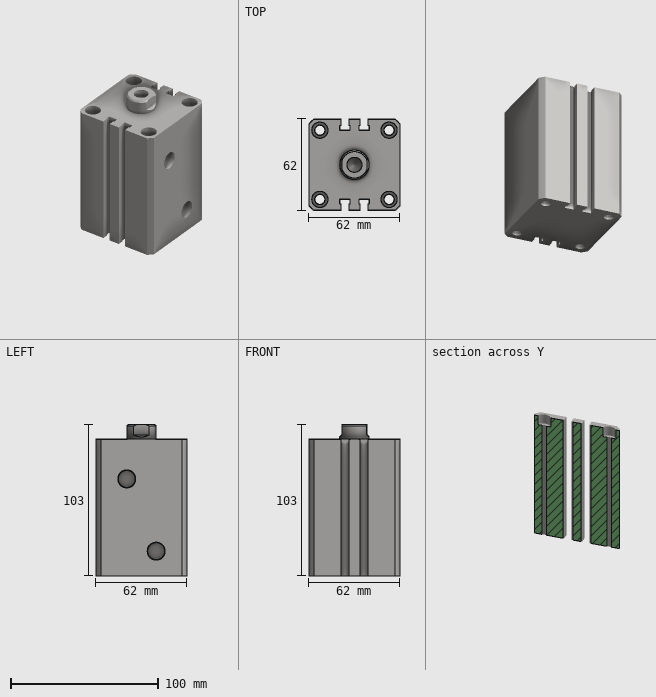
import cadquery as cq
import math

total_height = 103.0
rod_exposed = 10.0
width = 62.0
corner_round_radius = 41.5
body_height = total_height - rod_exposed
half_width = width / 2

bolt_pitch = 47.0
bolt_hole_diameter = 6.8
counterbore_diameter = 11.0
counterbore_depth = 7.0

slot_pitch = 13.0
slot_neck_width = 5.3
slot_head_width = 6.8
slot_neck_depth = 4.4
slot_depth = 7.5

port_diameter = 12.2
port_depth = 10.3
port_taper = 1 / 16
port_offset = 10.0
upper_port_drop = 27.0
lower_port_height = 17.0

rod_diameter = 20.0
rod_seat_depth = 20.6
rod_chamfer = 1.0
flat_width = 17.0
flat_length = 7.0
rod_hole_diameter = 10.2
rod_hole_depth = 15.0
drill_point_angle = 118.0


def housing_block():
    """Square block whose vertical edges are rounded about the Z axis."""
    block = cq.Workplane("XY").rect(width, width).extrude(body_height)
    envelope = cq.Workplane("XY").circle(corner_round_radius).extrude(body_height)
    return block.intersect(envelope)


def t_slot(x_center, side):
    """T-slot cutter over the full height; side is +1 for the +Y face, -1 for the -Y face."""
    neck_center = side * (half_width - slot_depth / 2)
    neck = cq.Workplane("XY").center(x_center, neck_center).rect(slot_neck_width, slot_depth)
    head_height = slot_depth - slot_neck_depth
    head_center = side * (half_width - slot_neck_depth - head_height / 2)
    head = cq.Workplane("XY").center(x_center, head_center).rect(slot_head_width, head_height)
    return neck.extrude(body_height).union(head.extrude(body_height))


def port(y_center, z_center):
    """Tapered blind hole going into the -X face."""
    mouth_radius = port_diameter / 2
    floor_radius = mouth_radius - port_depth * port_taper / 2
    mouth_center = cq.Vector(-half_width, y_center, z_center)
    return cq.Solid.makeCone(mouth_radius, floor_radius, port_depth, mouth_center, cq.Vector(1, 0, 0))


def make_housing():
    housing = (
        housing_block()
        .faces(">Z").workplane(origin=(0, 0, body_height))
        .rect(bolt_pitch, bolt_pitch, forConstruction=True).vertices()
        .cboreHole(bolt_hole_diameter, counterbore_diameter, counterbore_depth)
    )
    for side in (-1, 1):
        for x_center in (-slot_pitch / 2, slot_pitch / 2):
            housing = housing.cut(t_slot(x_center, side))
    housing = housing.cut(cq.Workplane(port(port_offset, body_height - upper_port_drop)))
    housing = housing.cut(cq.Workplane(port(-port_offset, lower_port_height)))
    rod_seat = (
        cq.Workplane("XY", origin=(0, 0, body_height - rod_seat_depth))
        .circle(rod_diameter / 2).extrude(rod_seat_depth)
    )
    return housing.cut(rod_seat)


def wrench_flat(side):
    """Cutter for one flat on the rod, ending below in a 45 degree slope."""
    flat_x = flat_width / 2
    outer_x = rod_diameter / 2
    flat_bottom = total_height - flat_length
    slope_bottom = flat_bottom - (outer_x - flat_x)
    profile = [
        (side * flat_x, total_height),
        (side * flat_x, flat_bottom),
        (side * outer_x, slope_bottom),
        (side * outer_x, total_height),
    ]
    return cq.Workplane("XZ").polyline(profile).close().extrude(rod_diameter / 2, both=True)


def rod_hole():
    """Blind hole from the top of the rod with a conical drill point."""
    radius = rod_hole_diameter / 2
    point_length = radius / math.tan(math.radians(drill_point_angle / 2))
    hole_bottom = total_height - rod_hole_depth
    profile = [
        (0, total_height),
        (radius, total_height),
        (radius, hole_bottom),
        (0, hole_bottom - point_length),
    ]
    return cq.Workplane("XZ").polyline(profile).close().revolve(360, (0, 0, 0), (0, 1, 0))


def make_rod():
    rod = (
        cq.Workplane("XY", origin=(0, 0, body_height - rod_seat_depth))
        .circle(rod_diameter / 2).extrude(rod_seat_depth + rod_exposed)
        .faces(">Z").chamfer(rod_chamfer)
    )
    for side in (-1, 1):
        rod = rod.cut(wrench_flat(side))
    return rod.cut(rod_hole())


housing = make_housing().solids()
rod = make_rod().solids()
result = cq.Compound.makeCompound([housing.val(), rod.val()])